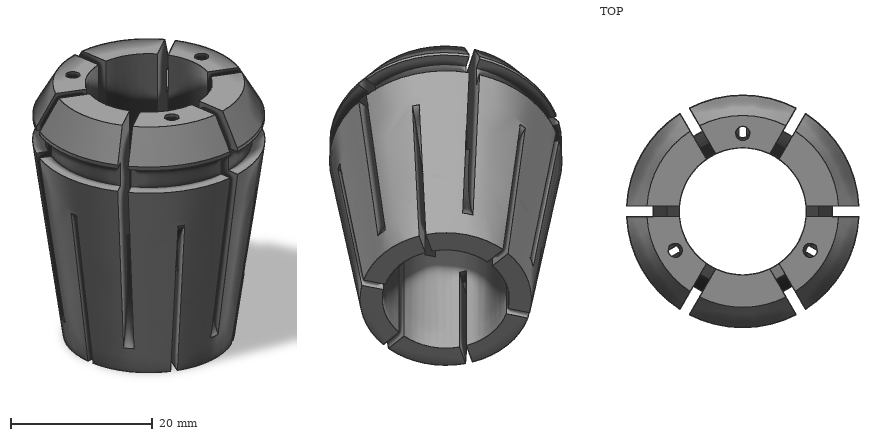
import cadquery as cq
import math

HEIGHT = 40.0
SHOULDER_DIAMETER = 33.0
TAPER_ANGLE = 8.0
SHOULDER_Z = 30.9
GROOVE_DIAMETER = 29.4
GROOVE_TOP_Z = 34.5
RIM_DIAMETER = 32.9
RIM_TOP_Z = 35.1
NOSE_ANGLE = 30.0
BORE_DIAMETER = 18.0

SLOT_COUNT = 6
SLOT_RIM_RADIUS = 10.7
SLOT_BEVEL_ANGLE = 20.0
TOP_SLOT_WIDTH = 1.5
TOP_SLOT_OUTER_Z = 4.0
TOP_SLOT_RIM_Z = 20.95
TOP_SAW_RADIUS = 25.0
BOTTOM_SLOT_WIDTH = 1.0
BOTTOM_SLOT_OUTER_Z = 24.95
BOTTOM_SLOT_RIM_Z = 16.1
BOTTOM_SAW_RADIUS = 17.6

HOLE_COUNT = 3
FIRST_HOLE_ANGLE = 90.0
HOLE_DIAMETER = 2.0
HOLE_CIRCLE_RADIUS = 11.05
HOLE_DEPTH = 24.0
HOLE_TILT = 1.0

CLEARANCE = 4.0

SHOULDER_RADIUS = SHOULDER_DIAMETER / 2
GROOVE_RADIUS = GROOVE_DIAMETER / 2
RIM_RADIUS = RIM_DIAMETER / 2
BORE_RADIUS = BORE_DIAMETER / 2
BOTTOM_RADIUS = SHOULDER_RADIUS - SHOULDER_Z * math.tan(math.radians(TAPER_ANGLE))
NOSE_RADIUS = RIM_RADIUS - (HEIGHT - RIM_TOP_Z) * math.tan(math.radians(NOSE_ANGLE))
FULL_TURN = 360.0
SLOT_PITCH = FULL_TURN / SLOT_COUNT


def taper_radius(z):
    """Outer radius of the long taper at height z."""
    return BOTTOM_RADIUS + z * math.tan(math.radians(TAPER_ANGLE))


def make_body():
    """Revolved collet, bored through: long taper, nut groove, rim and nose cone."""
    profile = [
        (BORE_RADIUS, 0),
        (BOTTOM_RADIUS, 0),
        (SHOULDER_RADIUS, SHOULDER_Z),
        (GROOVE_RADIUS, SHOULDER_Z),
        (GROOVE_RADIUS, GROOVE_TOP_Z),
        (RIM_RADIUS, GROOVE_TOP_Z),
        (RIM_RADIUS, RIM_TOP_Z),
        (NOSE_RADIUS, HEIGHT),
        (BORE_RADIUS, HEIGHT),
    ]
    return cq.Workplane("XZ").polyline(profile).close().revolve(FULL_TURN, (0, 0), (0, 1))


def make_slot_cutter(width, outer_z, rim_z, saw_radius, open_end_z):
    """Radial cutter along +X, from the slot floor to the open end of the slot."""
    outer_radius = taper_radius(outer_z)
    run = outer_radius - SLOT_RIM_RADIUS
    rise = rim_z - outer_z
    chord = math.hypot(run, rise)
    sag = saw_radius - math.sqrt(saw_radius**2 - chord**2 / 4)
    floor_middle = (
        SLOT_RIM_RADIUS + run / 2 - sag * abs(rise) / chord,
        outer_z + rise / 2 - sag * math.copysign(run, rise) / chord,
    )
    bevel_drop = SLOT_RIM_RADIUS * math.tan(math.radians(SLOT_BEVEL_ANGLE))
    far_radius = SHOULDER_RADIUS + CLEARANCE
    return (
        cq.Workplane("XZ")
        .moveTo(0, open_end_z)
        .lineTo(0, rim_z - math.copysign(bevel_drop, rise))
        .lineTo(SLOT_RIM_RADIUS, rim_z)
        .threePointArc(floor_middle, (outer_radius, outer_z))
        .lineTo(far_radius, outer_z)
        .lineTo(far_radius, open_end_z)
        .close()
        .extrude(width / 2, both=True)
    )


def cut_around(body, cutter, count, start_angle):
    """Cut evenly spaced copies of a cutter about the Z axis."""
    for index in range(count):
        angle = start_angle + index * FULL_TURN / count
        body = body.cut(cutter.rotate((0, 0, 0), (0, 0, 1), angle))
    return body


def make_pin_hole():
    """Hole cutter on the +X side that leans outward as it goes down."""
    mouth = (HOLE_CIRCLE_RADIUS, 0, HEIGHT)
    tilt_axis_end = (HOLE_CIRCLE_RADIUS, 1, HEIGHT)
    return (
        cq.Workplane("XY", origin=(HOLE_CIRCLE_RADIUS, 0, HEIGHT - HOLE_DEPTH))
        .circle(HOLE_DIAMETER / 2)
        .extrude(HOLE_DEPTH + CLEARANCE)
        .rotate(mouth, tilt_axis_end, -HOLE_TILT)
    )


top_slot = make_slot_cutter(
    TOP_SLOT_WIDTH, TOP_SLOT_OUTER_Z, TOP_SLOT_RIM_Z, TOP_SAW_RADIUS, HEIGHT + CLEARANCE
)
bottom_slot = make_slot_cutter(
    BOTTOM_SLOT_WIDTH, BOTTOM_SLOT_OUTER_Z, BOTTOM_SLOT_RIM_Z, BOTTOM_SAW_RADIUS, -CLEARANCE
)

result = make_body()
result = cut_around(result, top_slot, SLOT_COUNT, 0)
result = cut_around(result, bottom_slot, SLOT_COUNT, SLOT_PITCH / 2)
result = cut_around(result, make_pin_hole(), HOLE_COUNT, FIRST_HOLE_ANGLE)